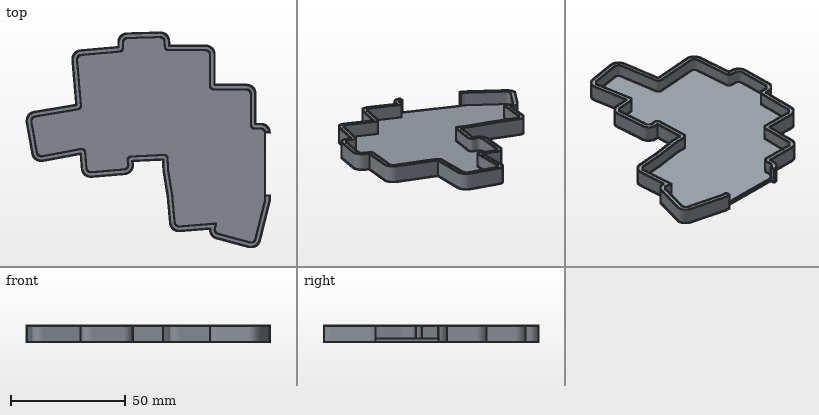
import cadquery as cq

height = 7.2
floor_thickness = 1.5
wall = 2.0
corner_radius = 2.0
inner_notch_radius = 1.6

opening_bottom = 22.7
opening_top = 50.2

outline = [
    (40.1, 87.5),
    (40.1, 93.4),
    (62.2, 94.0),
    (62.4, 88.2),
    (82.2, 88.2),
    (82.2, 71.0),
    (100.1, 71.0),
    (100.1, 53.9),
    (106.4, 53.9),
    (106.4, 20.4),
    (101.0, -1.0),
    (79.3, 4.9),
    (80.2, 8.1),
    (63.1, 6.7),
    (61.7, 22.1),
    (59.8, 34.0),
    (59.7, 38.3),
    (46.3, 37.6),
    (47.1, 32.3),
    (24.5, 30.4),
    (23.6, 40.8),
    (3.2, 37.0),
    (-0.6, 58.5),
    (21.7, 62.2),
    (19.7, 85.7),
]

shallow_turn = 0.5
sharp_corner = (80.2, 8.1)


def edge_directions(before, corner, after):
    """Unit directions of the edges that enter and leave a corner."""
    corner_point = cq.Vector(*corner)
    edge_in = (corner_point - cq.Vector(*before)).normalized()
    edge_out = (cq.Vector(*after) - corner_point).normalized()
    return edge_in, edge_out


def inset_corner(corner, edge_in, edge_out):
    """Corner moved inward by the wall thickness from both of its edges."""
    normal_in = cq.Vector(edge_in.y, -edge_in.x)
    normal_out = cq.Vector(edge_out.y, -edge_out.x)
    miter = (normal_in + normal_out) * (wall / (1 + normal_in.dot(normal_out)))
    return cq.Vector(*corner) + miter


def round_corners(body, corners, radius):
    """Round the vertical edges that stand on the given corners."""
    edges = body.edges("|Z").vals()
    chosen = [
        min(edges, key=lambda edge: (edge.Center() - corner - cq.Vector(0, 0, height / 2)).Length)
        for corner in corners
    ]
    return cq.Workplane(body.val().fillet(radius, chosen))


cavity_corners = []
convex_corners = []
reentrant_corners = []
neighbours = zip(outline[-1:] + outline[:-1], outline, outline[1:] + outline[:1])
for before, corner, after in neighbours:
    edge_in, edge_out = edge_directions(before, corner, after)
    inner_corner = inset_corner(corner, edge_in, edge_out)
    cavity_corners.append(inner_corner)
    turn = edge_in.cross(edge_out).z
    if turn < -shallow_turn:
        convex_corners.append(inner_corner)
    elif turn > shallow_turn and corner != sharp_corner:
        reentrant_corners.append(inner_corner)

sharp_cavity = cq.Workplane("XY").polyline(cavity_corners).close().extrude(height)
rounded_cavity = round_corners(sharp_cavity, convex_corners, corner_radius)
tray = rounded_cavity.faces("<Z").wires().toPending().offset2D(wall, "arc").extrude(height)

cavity = round_corners(rounded_cavity, reentrant_corners, inner_notch_radius)
cavity = cavity.translate((0, 0, floor_thickness))
tray = tray.cut(cavity)

inner_right = max(x for x, y in outline) - wall
opening = (
    cq.Workplane("XY")
    .box(2 * wall, opening_top - opening_bottom, height, centered=False)
    .translate((inner_right, opening_bottom, 0))
)
result = tray.cut(opening)